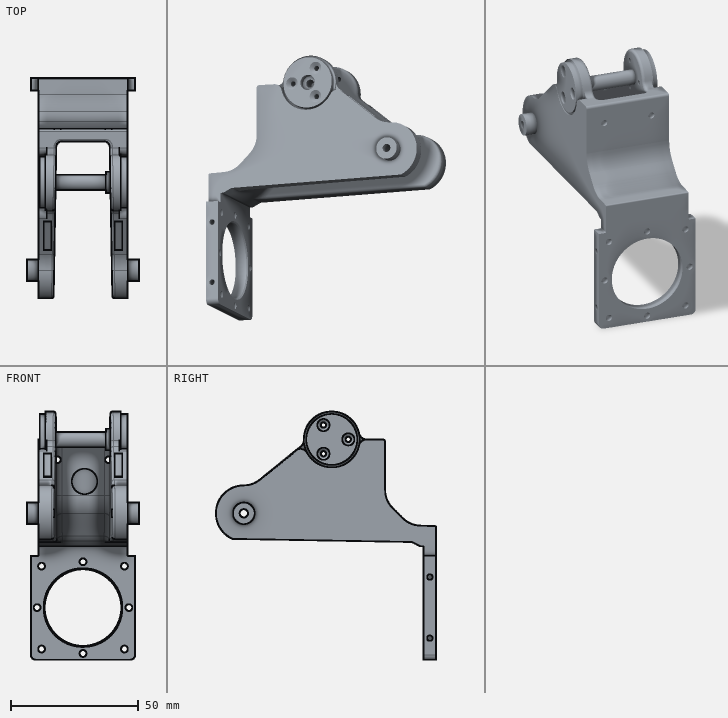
import cadquery as cq
import math


flange_size = 41.0
flange_thickness = 5.0
flange_overlap = 1.0
flange_corner_radius = 2.0
bore_diameter = 30.0
bore_chamfer = 0.5
flange_hole_diameter = 2.6
inline_hole_circle_radius = 18.0
corner_hole_circle_radius = 23.0
holes_per_circle = 4
side_hole_diameter = 2.2
side_hole_height = 12.0
side_hole_depth = 5.0
shoulder_height = 20.25
shoulder_fillet = 0.5

body_width = 35.0
bend_radius = 10.0
ledge_height = 32.0
ledge_slope = math.radians(2.0)
ledge_back_fillet = 0.5
wall_back_y = -20.0
wall_thickness = 5.0
wall_top_fillet = 1.0
neck_corner_height = 42.0
draft_angle = math.radians(1.0)
bevel_top_y = -9.5
bevel_foot_height = 24.0
bevel_slope = math.radians(27.0)

hub_y = -41.0
hub_height = 66.0
hub_radius = 11.0
core_half_width = 14.25
hub_face_x = 14.9
hub_blend_radius = 3.0
arm_slope = math.radians(39.0)
tip_radius = 11.0
front_end_y = -86.5
tip_y = front_end_y + tip_radius
tip_height = 37.0
tip_cut_angle = math.radians(-113.5)

gap_half_width = 10.4
gap_corner_radius = 2.0
gap_edge_fillet = 1.0
neck_thickness = 5.0

cap_radius = 10.0
left_cap_face_x = 17.0
right_cap_face_x = 17.5
screw_circle_radius = 6.5
screw_count = 3
screw_hole_diameter = 2.0
screw_head_diameter = 4.8
screw_head_angle = math.radians(90.0)
pin_diameter = 6.0
pin_collar_diameter = 8.5
pin_collar_x = 9.0
pin_end_x = -14.0
pin_bore_diameter = 3.2
pin_bore_depth = 6.0

boss_diameter = 8.5
boss_end_x = 22.0
boss_hole_diameter = 3.2
arm_pocket_length = 14.4
arm_pocket_width = 3.0
arm_pocket_depth = 0.3
arm_pocket_x = 13.9
arm_pocket_y = -62.1
wall_hole_diameter = 2.5
wall_hole_x = 10.0
wall_hole_height = 58.0
wall_recess_diameter = 10.0
wall_recess_depth = 1.0
wall_recess_x = 0.6
wall_recess_height = 49.5

pick_tolerance = 0.01

half_body = body_width / 2
half_flange = flange_size / 2
wall_front_y = wall_back_y - wall_thickness
tip_top = tip_height + tip_radius
arm_foot_y = tip_y + bend_radius * math.tan(arm_slope / 2)
arm_head_y = arm_foot_y + (hub_height - tip_top) / math.tan(arm_slope)
neck_line_offset = neck_corner_height + wall_back_y
neck_foot_y = (ledge_height - neck_line_offset) / (math.tan(ledge_slope) - 1)
neck_foot_height = neck_line_offset - neck_foot_y
tip_cut_y = tip_y + tip_radius * math.cos(tip_cut_angle)
tip_cut_height = tip_height + tip_radius * math.sin(tip_cut_angle)
groove_radius = (hub_radius - cap_radius) / 2


def underside_height(y):
    """Height of the drafted underside of the arms."""
    return tip_cut_height - (y - tip_cut_y) * math.tan(draft_angle)


def gap_half_width_at(y):
    """Half width of the gap, which opens by the draft angle towards the front."""
    return gap_half_width + (wall_front_y - y) * math.tan(draft_angle)


def line_to_corner(sketch, before, corner, after, radius):
    """Draw to a corner, rounding it with an arc tangent to both of its sides."""
    vertex = cq.Vector(*corner)
    to_before = (cq.Vector(*before) - vertex).normalized()
    to_after = (cq.Vector(*after) - vertex).normalized()
    half_angle = to_before.getAngle(to_after) / 2
    setback = radius / math.tan(half_angle)
    start = vertex + to_before * setback
    end = vertex + to_after * setback
    bisector = (to_before + to_after).normalized()
    middle = vertex + bisector * (radius / math.sin(half_angle) - radius)
    sketch = sketch.lineTo(start.x, start.y)
    return sketch.threePointArc((middle.x, middle.y), (end.x, end.y))


def rounded_path(points):
    """Start a Y-Z path along (y, z, corner radius) points; the last point only gives a direction."""
    places = [point[:2] for point in points]
    sketch = cq.Workplane("YZ").moveTo(*places[0])
    for index in range(1, len(points) - 1):
        radius = points[index][2]
        if radius > 0:
            sketch = line_to_corner(sketch, places[index - 1], places[index], places[index + 1], radius)
        else:
            sketch = sketch.lineTo(*places[index])
    return sketch


def x_cylinder(diameter, y, z, x_start, x_end):
    """Cylinder along X between two X positions."""
    circle = cq.Workplane("YZ", origin=(x_start, y, z)).circle(diameter / 2)
    return circle.extrude(x_end - x_start)


def mirrored_pair(shape):
    """The shape together with its mirror image about X = 0."""
    return shape.union(shape.mirror("YZ"))


def side_slab(half_width):
    """Full side outline, without the hub, extruded symmetrically about X = 0."""
    foot = shoulder_height - flange_overlap
    outline = rounded_path([
        (0, foot, 0),
        (0, ledge_height, ledge_back_fillet),
        (neck_foot_y, neck_foot_height, bend_radius),
        (wall_back_y, neck_corner_height, bend_radius),
        (wall_back_y, hub_height, wall_top_fillet),
        (arm_head_y, hub_height, 0),
        (arm_foot_y, tip_top, bend_radius),
        (tip_y, tip_top, 0),
    ])
    outline = outline.threePointArc((tip_y - tip_radius, tip_height), (tip_cut_y, tip_cut_height))
    bevel_top_height = underside_height(bevel_top_y)
    bevel_foot_y = bevel_top_y + (bevel_top_height - bevel_foot_height) / math.tan(bevel_slope)
    outline = outline.lineTo(bevel_top_y, bevel_top_height)
    outline = outline.lineTo(bevel_foot_y, bevel_foot_height)
    outline = outline.lineTo(-flange_thickness, bevel_foot_height)
    outline = outline.lineTo(-flange_thickness, foot).close()
    return outline.extrude(half_width, both=True)


def edges_along_x_near(shape, places):
    """Edges parallel to X that pass through one of the given (y, z) places."""
    def is_wanted(edge):
        centre = edge.Center()
        return any(math.hypot(centre.y - y, centre.z - z) < pick_tolerance for y, z in places)
    return shape.edges("|X").filter(is_wanted)


def hub_corners(radius):
    """Where a circle about the hub axis meets the wall top and the arm slope."""
    back = (hub_y + radius, hub_height)
    sine, cosine = math.sin(arm_slope), math.cos(arm_slope)
    along = (arm_head_y - hub_y) * cosine
    offset = (arm_head_y - hub_y) * sine
    reach = math.sqrt(radius**2 - offset**2) + along
    return [back, (arm_head_y - reach * cosine, hub_height - reach * sine)]


def make_solid_body():
    """Body with its hub but before the gap is cut."""
    core = side_slab(core_half_width)
    core = core.union(x_cylinder(2 * hub_radius, hub_y, hub_height, -core_half_width, core_half_width))
    core = edges_along_x_near(core, hub_corners(hub_radius)).fillet(hub_blend_radius)
    flanks = side_slab(half_body).cut(side_slab(core_half_width))
    flanks = flanks.cut(x_cylinder(2 * hub_radius, hub_y, hub_height, -half_body, half_body))
    flanks = edges_along_x_near(flanks, hub_corners(hub_radius)).fillet(hub_blend_radius)
    hub_faces = mirrored_pair(x_cylinder(2 * hub_radius, hub_y, hub_height, core_half_width, hub_face_x))
    return core.union(flanks).union(hub_faces)


def make_gap():
    """Space between the arms, in front of the wall and of the sloping neck."""
    front_y = tip_y - 2 * tip_radius
    top = hub_height + 2 * hub_radius
    slope_offset = neck_line_offset - neck_thickness * math.sqrt(2)
    bevel_top_height = underside_height(bevel_top_y)
    bevel_offset = bevel_top_height + bevel_top_y * math.tan(bevel_slope)
    slope_end_y = (slope_offset - bevel_offset) / (1 - math.tan(bevel_slope))
    region = rounded_path([
        (wall_front_y, top, 0),
        (wall_front_y, slope_offset - wall_front_y, bend_radius),
        (slope_end_y, slope_offset - slope_end_y, bend_radius),
        (bevel_top_y, bevel_top_height, 0),
        (bevel_top_y, 0, 0),
        (front_y, 0, 0),
        (front_y, top, 0),
        (wall_front_y, top, 0),
    ]).close().extrude(half_body, both=True)
    back_half = gap_half_width_at(0)
    front_half = gap_half_width_at(front_y)
    corners = [(-back_half, 0), (back_half, 0), (front_half, front_y), (-front_half, front_y)]
    wedge = cq.Workplane("XY").polyline(corners).close().extrude(top)
    gap = wedge.intersect(region)

    def joins_wall_to_arm(edge):
        box = edge.BoundingBox()
        at_wall_or_neck = box.ymin > wall_front_y - pick_tolerance and box.zmin > bevel_foot_height
        return at_wall_or_neck and box.xlen < gap_half_width

    return gap.edges().filter(joins_wall_to_arm).fillet(gap_corner_radius)


def cut_gap(body):
    """Cut the gap and round the edges where it meets the outside of the body."""
    outside = body.val().Shells()[0]
    cut_body = body.cut(make_gap())

    def is_gap_rim(edge):
        middle = edge.positionAt(0.5)
        inside_arms = abs(middle.x) < core_half_width - gap_edge_fillet
        if not inside_arms or edge.BoundingBox().ymax > bevel_top_y - pick_tolerance:
            return False
        return outside.distance(cq.Vertex.makeVertex(*middle.toTuple())) < pick_tolerance

    return cut_body.edges().filter(is_gap_rim).fillet(gap_edge_fillet)


def make_flange():
    """Square flange with its bore, rounded lower corners and fillets at the shoulders."""
    plate_height = half_flange + shoulder_height
    plate_centre = (shoulder_height - half_flange) / 2
    flange = cq.Workplane("XZ").center(0, plate_centre).rect(flange_size, plate_height)
    flange = flange.extrude(flange_thickness)
    flange = flange.edges("|Y and <Z").fillet(flange_corner_radius)
    neck_foot = cq.Workplane("XZ", origin=(0, 0, shoulder_height))
    neck_foot = neck_foot.rect(body_width, 2 * (bevel_foot_height - shoulder_height))
    flange = flange.union(neck_foot.extrude(flange_thickness))

    def is_shoulder(edge):
        centre = edge.Center()
        beside_neck = abs(abs(centre.x) - half_body) < pick_tolerance
        return beside_neck and abs(centre.z - shoulder_height) < pick_tolerance

    flange = flange.edges("|Y").filter(is_shoulder).fillet(shoulder_fillet)
    flange = flange.cut(cq.Workplane("XZ").circle(bore_diameter / 2).extrude(flange_thickness))
    return flange.faces("<Y").edges(cq.selectors.RadiusNthSelector(-1)).chamfer(bore_chamfer)


def make_flange_holes():
    """Four holes on the axes and four on the diagonals, and blind holes in both sides."""
    holes = cq.Workplane("XZ")
    holes = holes.polarArray(inline_hole_circle_radius, 0, 360, holes_per_circle)
    holes = holes.circle(flange_hole_diameter / 2).extrude(flange_thickness)
    corner_holes = cq.Workplane("XZ").polarArray(corner_hole_circle_radius, 45, 360, holes_per_circle)
    holes = holes.union(corner_holes.circle(flange_hole_diameter / 2).extrude(flange_thickness))
    for height in (-side_hole_height, side_hole_height):
        bottom_x = half_flange - side_hole_depth
        hole = x_cylinder(side_hole_diameter, -flange_thickness / 2, height, bottom_x, half_flange)
        holes = holes.union(mirrored_pair(hole))
    return holes


def make_caps():
    """Round caps on the outer faces of the hubs; the right one is thicker."""
    left = x_cylinder(2 * cap_radius, hub_y, hub_height, -left_cap_face_x, -hub_face_x)
    right = x_cylinder(2 * cap_radius, hub_y, hub_height, hub_face_x, right_cap_face_x)
    return left.union(right)


def make_hub_grooves():
    """Ring cutters for the half-round grooves in the hub faces around the caps."""
    centre = cq.Vector(hub_face_x, hub_y, hub_height)
    ring = cq.Solid.makeTorus((hub_radius + cap_radius) / 2, groove_radius, centre, cq.Vector(1, 0, 0))
    return mirrored_pair(cq.Workplane(ring))


def make_screw_hole(y, z, face_x):
    """Countersunk hole along X from a cap face at positive X into the gap."""
    sink_width = (screw_head_diameter - screw_hole_diameter) / 2
    sink_depth = sink_width / math.tan(screw_head_angle / 2)
    sink = cq.Solid.makeCone(
        screw_head_diameter / 2, screw_hole_diameter / 2, sink_depth,
        cq.Vector(face_x, y, z), cq.Vector(-1, 0, 0))
    return x_cylinder(screw_hole_diameter, y, z, 0, face_x).union(cq.Workplane(sink))


def make_screw_holes():
    """Screw holes of both caps, spaced evenly about the hub axis."""
    holes = cq.Workplane("YZ")
    for index in range(screw_count):
        angle = 2 * math.pi * index / screw_count
        y = hub_y + screw_circle_radius * math.cos(angle)
        z = hub_height + screw_circle_radius * math.sin(angle)
        holes = holes.add(make_screw_hole(y, z, right_cap_face_x))
        holes = holes.add(make_screw_hole(y, z, left_cap_face_x).mirror("YZ"))
    return holes.combine()


def add_pin(body):
    """Pin across the gap with a collar at the right arm, set back inside the left cap."""
    pin = x_cylinder(pin_diameter, hub_y, hub_height, pin_end_x, hub_face_x)
    collar = x_cylinder(pin_collar_diameter, hub_y, hub_height, pin_collar_x, core_half_width)
    bore = x_cylinder(pin_bore_diameter, hub_y, hub_height, pin_end_x, pin_end_x + pin_bore_depth)
    seat = x_cylinder(pin_diameter, hub_y, hub_height, -left_cap_face_x, pin_end_x)
    return body.union(pin).union(collar).cut(seat).cut(bore)


def make_tip_bosses():
    """Bosses on the outer faces of the arm tips."""
    return mirrored_pair(x_cylinder(boss_diameter, tip_y, tip_height, half_body, boss_end_x))


def make_tip_hole():
    """Hole through both bosses and both arm tips."""
    return x_cylinder(boss_hole_diameter, tip_y, tip_height, -boss_end_x, boss_end_x)


def make_arm_pockets():
    """Shallow rectangular pockets in the sloping edges of both arms."""
    height = tip_top + (arm_pocket_y - arm_foot_y) * math.tan(arm_slope)
    pocket = cq.Workplane("XY").box(arm_pocket_width, arm_pocket_length, 2 * arm_pocket_depth)
    pocket = pocket.rotate((0, 0, 0), (1, 0, 0), math.degrees(arm_slope))
    return mirrored_pair(pocket.translate((arm_pocket_x, arm_pocket_y, height)))


def make_wall_openings():
    """Two holes through the wall and a shallow round recess in its front face."""
    holes = cq.Workplane("XZ", origin=(0, wall_back_y, wall_hole_height))
    holes = holes.pushPoints([(-wall_hole_x, 0), (wall_hole_x, 0)])
    holes = holes.circle(wall_hole_diameter / 2).extrude(wall_thickness + gap_corner_radius)
    recess = cq.Workplane("XZ", origin=(wall_recess_x, wall_front_y, wall_recess_height))
    return holes.union(recess.circle(wall_recess_diameter / 2).extrude(-wall_recess_depth))


result = cut_gap(make_solid_body())
result = result.union(make_flange())
result = result.union(make_caps())
result = result.cut(make_hub_grooves())
result = result.union(make_tip_bosses())
result = add_pin(result)
result = result.cut(make_screw_holes())
result = result.cut(make_flange_holes())
result = result.cut(make_tip_hole())
result = result.cut(make_arm_pockets())
result = result.cut(make_wall_openings())